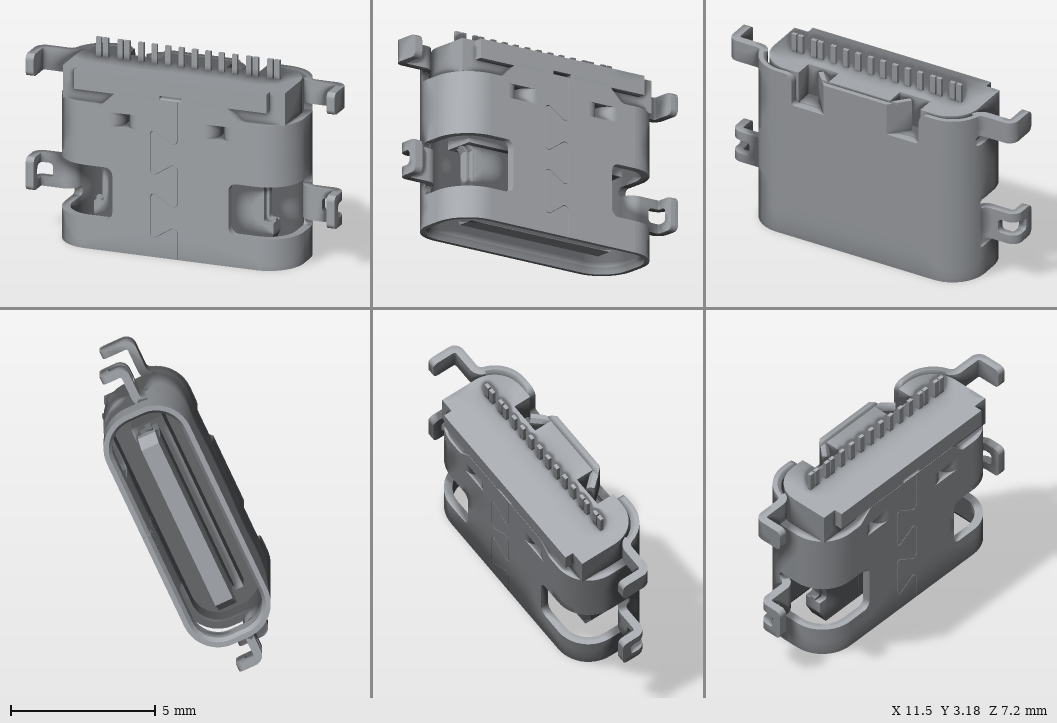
import cadquery as cq
import math


shell_width = 8.94
shell_depth = 3.18
shell_height = 6.5
side_flat = 0.59
sheet = 0.3
corner_radius = (shell_depth - side_flat) / 2
inner_corner_radius = corner_radius - sheet
corner_x = shell_width / 2 - corner_radius
corner_y = side_flat / 2
outer_y = shell_depth / 2
inner_y = outer_y - sheet
inner_x = shell_width / 2 - sheet
top_bevel = 0.13
mouth_bevel_run = 0.12
mouth_bevel_height = 0.22
bevel_rim = 0.0002

front_top = 5.31
raised_top = 5.8
raised_half_top = 2.1
raised_slope_run = 0.51
raised_half_bottom = raised_half_top + raised_slope_run
raised_rounding = 0.35

back_slot_outer = 2.57
back_slot_rounding = 0.12
back_slot_floor = 5.3
tab_half_width = 1.27
wing_angle = math.radians(48)
wing_length = 0.92
back_corner_rounding = 0.31

overall_width = 11.54
leg_tip_x = overall_width / 2
leg_tip_y = -0.68
bend_radius = 0.2
tip_bend_radius = 0.37
tip_inner_radius = tip_bend_radius - sheet
leg_end_rounding = 0.2
upper_leg_top_y = 0.55
upper_leg_bottom = 5.69
lower_leg_top_y = 0.32
lower_leg_bottom = 1.5
lower_leg_top = 2.71
leg_hole_bottom = 1.84
leg_hole_height = 0.53
leg_hole_inner_x = 5.02
leg_hole_y = -0.34
leg_hole_rounding = 0.15

opening_bottom = 1.15
opening_top = 3.06
opening_inner_x = 2.17
opening_rounding = 0.28
lower_relief_y = 0.57
upper_relief_y = 0.79
lower_relief_rounding = 0.15
upper_relief_rounding = 0.18

window_inner = 1.165
window_outer = 2.37
window_bottom = 4.58
window_top = 5.11
window_mouth_radius = 0.53
window_depth = 0.8

seam_gap = 0.02
seam_right = 0.25
seam_left = -0.76
tooth_count = 2
tooth_pitch = 2.31
tooth_neck_bottom = 1.24
tooth_neck_height = 0.56
tooth_flare = 0.65
seam_rounding = 0.15

body_half_width = 4.145
body_front_y = -1.26
body_bottom = 4.3
body_back_radius = 1.15
lip_half_width = 3.595
lip_setback = 0.01
lip_notch_half_width = 0.405
lip_notch_height = 0.14
wing_pocket_inner = 1.24
wing_pocket_outer = 2.46
wing_pocket_y = 0.615
wing_pocket_chamfer = 0.12

tongue_half_width = 3.35
tongue_half_thickness = 0.33
tongue_tip = 0.3
tip_taper_run = 0.31
tip_taper_height = 0.58
latch_bottom = 1.33
latch_rounding = 0.1
mid_plate_latch_bottom = 1.43
latch_top = 2.84
latch_half_width = 3.0
mid_plate_half_width = 3.115
mid_plate_half_thickness = 0.11
tongue_base_bottom = 3.02
tongue_base_half_thickness = 0.6

contact_pitch = 0.5
pad_x = (1.25, 2.75)
pad_width = 0.25
pad_height = 0.01
pad_bottom = 0.67
tail_width = 0.2
tail_thickness = 0.125
tail_y = 0.1
tail_top = 7.2
single_tail_count = 8
paired_tail_x = (2.4, 3.2)
paired_tail_offset = 0.13


def block(x0, x1, y0, y1, z0, z1):
    return cq.Workplane("XY").box(x1 - x0, y1 - y0, z1 - z0, centered=False).translate((x0, y0, z0))


def both_sides(solid):
    return solid.union(solid.mirror("YZ"))


def polar(center, radius, angle):
    return (center[0] + radius * math.cos(angle), center[1] + radius * math.sin(angle))


def rounded_prism(width, depth, radius, height):
    return cq.Workplane("XY").rect(width, depth).extrude(height).edges("|Z").fillet(radius)


def leg_bend(plate_top_y):
    """Centre of the bend from corner arc to leg plate, and the angle of its tangent ray."""
    center_y = plate_top_y + bend_radius
    rise = center_y - corner_y
    run = math.sqrt((corner_radius + bend_radius) ** 2 - rise ** 2)
    return (corner_x + run, center_y), math.atan2(rise, run)


def leg(plate_top_y, bottom, top):
    """Sheet strip leaving the shell corner, running out along X and turning down to -Y."""
    bend, ray = leg_bend(plate_top_y)
    corner = (corner_x, corner_y)
    tip_center = (leg_tip_x - tip_bend_radius, plate_top_y - tip_bend_radius)
    mid_angle = (ray + math.pi + 1.5 * math.pi) / 2
    profile = (
        cq.Workplane("XY")
        .moveTo(*polar(corner, corner_radius, ray))
        .threePointArc(polar(bend, bend_radius, mid_angle), (bend[0], plate_top_y))
        .lineTo(tip_center[0], plate_top_y)
        .threePointArc(polar(tip_center, tip_bend_radius, math.pi / 4), (leg_tip_x, tip_center[1]))
        .lineTo(leg_tip_x, leg_tip_y)
        .lineTo(leg_tip_x - sheet, leg_tip_y)
        .lineTo(leg_tip_x - sheet, tip_center[1])
        .threePointArc(
            polar(tip_center, tip_inner_radius, math.pi / 4), (tip_center[0], plate_top_y - sheet)
        )
        .lineTo(bend[0], plate_top_y - sheet)
        .threePointArc(
            polar(bend, bend_radius + sheet, mid_angle), polar(corner, inner_corner_radius, ray)
        )
        .close()
    )
    strip = profile.extrude(top - bottom).translate((0, 0, bottom))
    return strip.faces("<Y").edges("|X").fillet(leg_end_rounding)


def below_leg_ray(plate_top_y, bottom, top):
    """Region of the shell side on the -Y side of the ray where a leg begins."""
    ray = leg_bend(plate_top_y)[1]
    corner = (corner_x, corner_y)
    outline = [
        corner,
        polar(corner, 2 * corner_radius, ray),
        (shell_width, -shell_depth),
        (corner_x, -shell_depth),
    ]
    return cq.Workplane("XY").polyline(outline).close().extrude(top - bottom).translate((0, 0, bottom))


def relief(top_y, bottom, top, rounding):
    """Slot beside a leg, rounded at its +Y end, through the shell side."""
    slot = block(corner_x, shell_width, -inner_y, top_y, bottom, top)
    return slot.faces(">Y").edges("|X").fillet(rounding)


def shell_tube():
    tube = rounded_prism(shell_width, shell_depth, corner_radius, shell_height)
    bore = rounded_prism(2 * inner_x, 2 * inner_y, inner_corner_radius, shell_height)
    return tube.cut(bore)


def bore_bevel(run, height):
    """Ring at Z = 0 and above that widens the bore by run at its lower rim, closing over height."""
    ring = rounded_prism(2 * (inner_x + run), 2 * (inner_y + run), inner_corner_radius + run, height)
    bore = rounded_prism(2 * inner_x, 2 * inner_y, inner_corner_radius, height)
    ring = ring.faces(">Z").chamfer(height - bevel_rim, run)
    return ring.cut(bore)


def cut_front_wall(shell):
    """Lower the front wall, leaving the raised centre with sloped ends."""
    removed_side = (
        cq.Workplane("XZ")
        .polyline([
            (corner_x, front_top),
            (raised_half_bottom, front_top),
            (raised_half_top, raised_top),
            (0, raised_top),
            (0, shell_height),
            (corner_x, shell_height),
        ])
        .close()
        .extrude(outer_y)
    )
    foot = cq.selectors.NearestToPointSelector((raised_half_bottom, -outer_y / 2, front_top))
    return shell.cut(both_sides(removed_side.edges(foot).fillet(raised_rounding)))


def cut_back_slots(shell):
    """Slots either side of the back tab, with the shell corners beyond them rounded."""
    slot = block(tab_half_width, back_slot_outer, 0, outer_y, back_slot_floor, shell_height)
    slot = slot.faces(">X").edges("<Z").fillet(back_slot_rounding)
    round_x = back_slot_outer + back_corner_rounding
    round_z = shell_height - back_corner_rounding
    cylinder = cq.Workplane("XZ").center(round_x, round_z).circle(back_corner_rounding).extrude(-outer_y)
    corner = block(back_slot_outer, round_x, 0, outer_y, round_z, shell_height).cut(cylinder)
    return shell.cut(both_sides(slot.union(corner)))


def tab_wing():
    """Wing folded inward from the edge of the central back tab."""
    along = (math.cos(wing_angle), -math.sin(wing_angle))
    across = (-math.sin(wing_angle) * sheet, -math.cos(wing_angle) * sheet)
    root = (tab_half_width, outer_y)
    tip = (root[0] + along[0] * wing_length, root[1] + along[1] * wing_length)
    inner_tip = (tip[0] + across[0], tip[1] + across[1])
    inner_root_x = inner_tip[0] - (inner_y - inner_tip[1]) / math.tan(wing_angle)
    outline = [root, tip, inner_tip, (inner_root_x, inner_y), (inner_root_x, outer_y)]
    wing = cq.Workplane("XY").polyline(outline).close().extrude(shell_height - back_slot_floor)
    inner_edge = cq.selectors.NearestToPointSelector(
        ((inner_tip[0] + inner_root_x) / 2, (inner_tip[1] + inner_y) / 2, shell_height - back_slot_floor)
    )
    return wing.edges(inner_edge).chamfer(top_bevel).translate((0, 0, back_slot_floor))


def leg_hole():
    """Notch through the tip bend of a lower leg."""
    hole_top = leg_hole_bottom + leg_hole_height
    tip_inner_x = leg_tip_x - sheet
    through_plate = block(leg_hole_inner_x, tip_inner_x, leg_hole_y, outer_y, leg_hole_bottom, hole_top)
    through_plate = through_plate.faces("<X").edges("|Y").fillet(leg_hole_rounding)
    through_tip = block(tip_inner_x, leg_tip_x, leg_hole_y, outer_y, leg_hole_bottom, hole_top)
    through_tip = through_tip.faces("<Y").edges("|X").fillet(leg_hole_rounding)
    return through_plate.union(through_tip)


def side_opening():
    """Opening in the front wall and side, with relief slots above and below the lower leg."""
    front = block(opening_inner_x, shell_width, -outer_y, -corner_y, opening_bottom, opening_top)
    front = front.faces("<X").edges("|Y").fillet(opening_rounding)
    side = below_leg_ray(lower_leg_top_y, opening_bottom, opening_top)
    lower_slot = relief(lower_relief_y, opening_bottom, lower_leg_bottom, lower_relief_rounding)
    upper_slot = relief(lower_relief_y, lower_leg_top, opening_top, lower_relief_rounding)
    return front.union(side).union(lower_slot).union(upper_slot)


def seam():
    """Narrow dovetail gap where the two ends of the rolled sheet meet."""
    panel_left = -opening_inner_x
    points = [(panel_left, 0), (seam_right, 0)]
    for tooth in range(tooth_count):
        neck_bottom = tooth_neck_bottom + tooth * tooth_pitch
        neck_top = neck_bottom + tooth_neck_height
        points += [
            (seam_right, neck_bottom),
            (seam_left, neck_bottom - tooth_flare),
            (seam_left, neck_top + tooth_flare),
            (seam_right, neck_top),
        ]
    points += [(seam_right, raised_top), (panel_left, raised_top)]
    panel = cq.Workplane("XZ").polyline(points).close().extrude(outer_y)
    tooth_zone = cq.selectors.BoxSelector(
        (2 * seam_left, -outer_y, seam_rounding),
        (2 * seam_right, 0, raised_top - tooth_flare),
    )
    panel = panel.edges("|Y").edges(tooth_zone).fillet(seam_rounding)
    widened = panel.faces("<Y").wires().toPending().workplane().offset2D(seam_gap).extrude(-sheet)
    seam_zone = block(2 * seam_left, 2 * seam_right, -outer_y, -inner_y, 0, raised_top)
    return widened.cut(panel).intersect(seam_zone)


def make_shell():
    shell = cut_front_wall(shell_tube())
    shell = cut_back_slots(shell).union(both_sides(tab_wing()))
    top_ring = bore_bevel(top_bevel, top_bevel).mirror("XY").translate((0, 0, shell_height))
    shell = shell.cut(top_ring).cut(bore_bevel(mouth_bevel_run, mouth_bevel_height)).cut(seam())
    upper_side = below_leg_ray(upper_leg_top_y, front_top, shell_height)
    upper_side = upper_side.union(
        relief(upper_relief_y, front_top, upper_leg_bottom, upper_relief_rounding)
    )
    shell = shell.cut(both_sides(upper_side)).cut(both_sides(side_opening()))
    upper_leg = leg(upper_leg_top_y, upper_leg_bottom, shell_height)
    lower_leg = leg(lower_leg_top_y, lower_leg_bottom, lower_leg_top).cut(leg_hole())
    return shell.union(both_sides(upper_leg)).union(both_sides(lower_leg))


def make_housing():
    """Full block above the front wall, with a plug below it that fits the bore of the shell."""
    block_top = block(-body_half_width, body_half_width, body_front_y, inner_y, front_top, shell_height)
    block_top = block_top.faces(">Y").edges("|Z").fillet(body_back_radius)
    plug = block(-body_half_width, body_half_width, -inner_y, inner_y, body_bottom, front_top)
    plug = plug.faces(">Y").edges("|Z").fillet(body_back_radius)
    plug = plug.faces("<Y").edges("|Z").fillet(inner_corner_radius)
    lip_y = lip_setback - outer_y
    lip = block(-lip_half_width, lip_half_width, lip_y, body_front_y, raised_top, shell_height)
    lip_notch = (
        cq.Workplane("YZ")
        .polyline([
            (-outer_y, raised_top),
            (-outer_y, raised_top + lip_notch_height),
            (body_front_y, raised_top + lip_notch_height),
        ])
        .close()
        .extrude(lip_notch_half_width, both=True)
    )
    wing_pocket = block(
        wing_pocket_inner, wing_pocket_outer, wing_pocket_y, inner_y, back_slot_floor, shell_height
    )
    pocket_ramp = (
        cq.Workplane("YZ", origin=(wing_pocket_inner, 0, 0))
        .polyline([
            (inner_y, back_slot_floor),
            (inner_y, back_slot_floor - wing_pocket_chamfer),
            (inner_y - wing_pocket_chamfer, back_slot_floor),
        ])
        .close()
        .extrude(wing_pocket_outer - wing_pocket_inner)
    )
    wing_pocket = wing_pocket.union(pocket_ramp)
    return block_top.union(plug).union(lip).cut(lip_notch).cut(both_sides(wing_pocket))


def tongue_layer(half_width, half_thickness, notch_bottom):
    """Tongue plate with a tapered tip and a latch notch in each edge."""
    flare = tongue_half_width - half_width
    outline = [
        (0, tongue_tip),
        (tongue_half_width - tip_taper_run, tongue_tip),
        (tongue_half_width, tongue_tip + tip_taper_height),
        (tongue_half_width, notch_bottom),
        (half_width, notch_bottom),
        (half_width, latch_top),
        (tongue_half_width, latch_top + flare),
        (tongue_half_width, body_bottom),
        (0, body_bottom),
    ]
    layer = cq.Workplane("XZ").polyline(outline).close().extrude(half_thickness, both=True)
    notch_corner = cq.selectors.NearestToPointSelector((half_width, 0, notch_bottom))
    return both_sides(layer.edges("|Y").edges(notch_corner).fillet(latch_rounding))


def make_tongue():
    tongue = tongue_layer(latch_half_width, tongue_half_thickness, latch_bottom)
    tongue = tongue.union(
        tongue_layer(mid_plate_half_width, mid_plate_half_thickness, mid_plate_latch_bottom)
    )
    base = block(
        -tongue_half_width, tongue_half_width,
        -tongue_base_half_thickness, tongue_base_half_thickness,
        tongue_base_bottom, body_bottom,
    )
    tongue = tongue.union(base)
    face_y = -tongue_half_thickness
    for center in pad_x:
        pad = block(
            center - pad_width / 2, center + pad_width / 2,
            face_y - pad_height, face_y,
            pad_bottom, tongue_base_bottom,
        )
        tongue = tongue.union(both_sides(pad))
    return tongue


def make_tails():
    first_x = -(single_tail_count - 1) / 2 * contact_pitch
    positions = [first_x + index * contact_pitch for index in range(single_tail_count)]
    for center in paired_tail_x:
        for side in (-1, 1):
            positions += [side * center - paired_tail_offset, side * center + paired_tail_offset]
    return (
        cq.Workplane("XY", origin=(0, tail_y, shell_height))
        .pushPoints([(x, 0) for x in positions])
        .rect(tail_width, tail_thickness)
        .extrude(tail_top - shell_height)
    )


def window():
    """Front window whose mouth curves inward from both ends to a narrow central slot."""
    mouth_y = window_mouth_radius - outer_y
    slot_inner = window_inner + window_mouth_radius
    slot_outer = window_outer - window_mouth_radius
    quarter = math.pi / 4
    profile = (
        cq.Workplane("XY")
        .moveTo(window_inner, -outer_y)
        .threePointArc(
            polar((window_inner, mouth_y), window_mouth_radius, -quarter), (slot_inner, mouth_y)
        )
        .lineTo(slot_inner, window_depth - outer_y)
        .lineTo(slot_outer, window_depth - outer_y)
        .lineTo(slot_outer, mouth_y)
        .threePointArc(
            polar((window_outer, mouth_y), window_mouth_radius, -3 * quarter), (window_outer, -outer_y)
        )
        .close()
    )
    return profile.extrude(window_top - window_bottom).translate((0, 0, window_bottom))


result = make_shell().union(make_housing()).union(make_tongue()).union(make_tails())
result = result.cut(both_sides(window()))